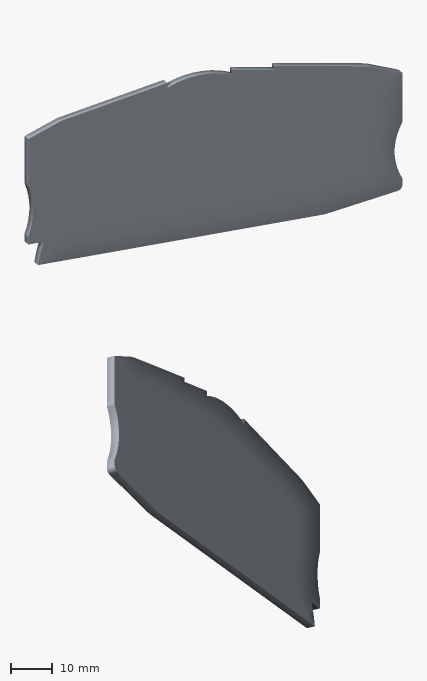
import cadquery as cq
import math

thickness = 2.2
length = 99.8
height = 41.9
half_length = length / 2

shoulder_y = 41.2
shoulder_z = 36.3
roof_slope = math.tan(math.radians(10))
end_ramp_slope = math.tan(math.radians(20))
end_top_z = shoulder_z - (half_length - shoulder_y) * end_ramp_slope

strip_outer_y = 16.1
strip_inner_y = 5.0
strip_drop = 1.1
crown_y = -3.6
crown_end_y = -12.8
crown_radius = 24

back_scoop_top_z = 20.4
back_scoop_bottom_z = 5.8
back_scoop_depth = 2.1
front_scoop_top_z = 21.0
front_scoop_bottom_z = 7.9
front_scoop_depth = 1.3

corner_z = 2.9
corner_radius = 1.5
bottom_start_y = 29.1

undercut_z = 5.8
undercut_y = -45.8
foot_y = -47.3
flank_bow = 0.15


def roof_z(y):
    """Height of the symmetric 10-degree roof at a given Y."""
    return shoulder_z + (shoulder_y - abs(y)) * roof_slope


def crown_z(y):
    """Height of the crown arc, whose peak is the top of the plate."""
    return height - crown_radius + math.sqrt(crown_radius**2 - (y - crown_y) ** 2)


def middle(a, b):
    return (a + b) / 2


outline = (
    cq.Workplane("YZ")
    .moveTo(bottom_start_y, 0)
    .lineTo(half_length, corner_z)
    .lineTo(half_length, back_scoop_bottom_z)
    .threePointArc(
        (half_length - back_scoop_depth, middle(back_scoop_bottom_z, back_scoop_top_z)),
        (half_length, back_scoop_top_z),
    )
    .lineTo(half_length, end_top_z)
    .lineTo(shoulder_y, shoulder_z)
    .lineTo(strip_outer_y, roof_z(strip_outer_y))
    .lineTo(strip_outer_y, roof_z(strip_outer_y) - strip_drop)
    .lineTo(strip_inner_y, roof_z(strip_inner_y) - strip_drop)
    .lineTo(strip_inner_y, crown_z(strip_inner_y))
    .threePointArc((crown_y, height), (crown_end_y, crown_z(crown_end_y)))
    .lineTo(crown_end_y, roof_z(crown_end_y))
    .lineTo(-shoulder_y, shoulder_z)
    .lineTo(-half_length, end_top_z)
    .lineTo(-half_length, front_scoop_top_z)
    .threePointArc(
        (-half_length + front_scoop_depth, middle(front_scoop_bottom_z, front_scoop_top_z)),
        (-half_length, front_scoop_bottom_z),
    )
    .lineTo(-half_length, undercut_z)
    .lineTo(undercut_y, undercut_z)
    .threePointArc(
        (middle(undercut_y, foot_y) - flank_bow, middle(undercut_z, 0)),
        (foot_y, 0),
    )
    .close()
)
plate = outline.extrude(thickness / 2, both=True)

corner_point = (0, half_length, corner_z)
result = plate.edges(cq.selectors.NearestToPointSelector(corner_point)).fillet(corner_radius)